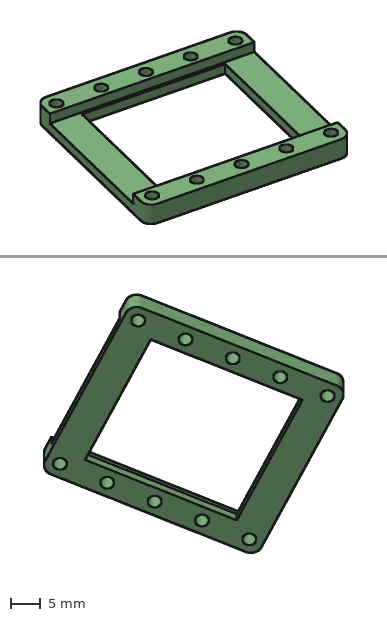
import cadquery as cq

width = 36.0
length = 40.0
height = 4.0
corner_radius = 2.0

channel_width = 27.0
floor_thickness = 2.0

window_width = 26.0
window_length = 28.0

hole_diameter = 2.3
holes_per_rail = 5
hole_edge_distance = 2.5
row_spacing = width - 2 * hole_edge_distance
hole_pitch = (length - 2 * hole_edge_distance) / (holes_per_rail - 1)


def make_blank():
    """Full-height plate with rounded vertical corners, standing on Z = 0."""
    plate = cq.Workplane("XY").box(width, length, height, centered=(True, True, False))
    return plate.edges("|Z").fillet(corner_radius)


def cut_channel(body):
    """Open channel along Y that leaves a raised rail on each side."""
    channel = (
        cq.Workplane("XY")
        .workplane(offset=floor_thickness)
        .rect(channel_width, length)
        .extrude(height - floor_thickness)
    )
    return body.cut(channel)


def cut_window(body):
    """Central rectangular opening through the floor."""
    window = cq.Workplane("XY").rect(window_width, window_length).extrude(height)
    return body.cut(window)


def cut_rail_holes(body):
    """Evenly spaced through holes along both rails."""
    holes = (
        cq.Workplane("XY")
        .rarray(row_spacing, hole_pitch, 2, holes_per_rail)
        .circle(hole_diameter / 2)
        .extrude(height)
    )
    return body.cut(holes)


frame = make_blank()
frame = cut_channel(frame)
frame = cut_window(frame)
result = cut_rail_holes(frame)